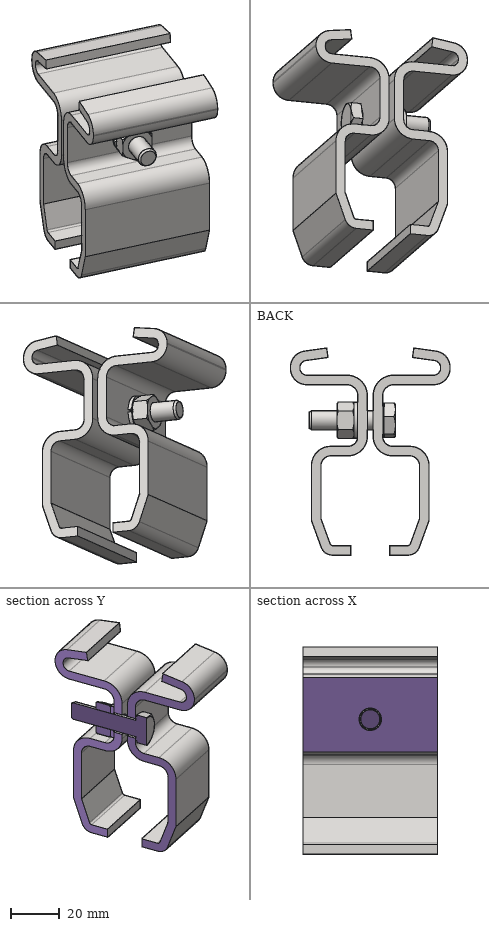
import cadquery as cq
import math

total_width = 65.3
total_height = 84.7
rail_length = 55.0

sheet = 4.0
half_sheet = sheet / 2
web_gap = 2.3
foot_end_x = 8.0
wall_outer_x = 24.05
kink_z = 14.6
kink_angle = 20.0
lower_shelf_top = 44.5
foot_inner_radius = 1.0
bend_inner_radius = 4.0
top_bend_inner_radius = 4.4
hook_inner_radius = 2.8
hook_flat = 0.3
lip_angle = 8.0
lip_length = 9.15

bolt_axis_z = 55.1
shank_diameter = 8.0
shank_tip_diameter = 6.7
shank_tip_length = 1.0
shank_length = 30.05
clearance_diameter = 9.0
hex_sides = 6
hex_flats = 13.0
head_chamfer_diameter = 12.7
nut_chamfer_diameter = 13.55
hex_chamfer_angle = 30.0
head_thickness = 4.7
head_turn = 11.0
nut_turn = 30.0
collar_diameter = 11.6
collar_thickness = 0.5
nut_thickness = 6.8
washer_diameter = 14.8
washer_thickness = 1.6
washer_slit = 1.0

web_outer_face = web_gap / 2 + sheet
hex_corners = hex_flats / math.cos(math.pi / hex_sides)
nut_start_x = web_outer_face + washer_thickness


def rail_centreline():
    """Mid-sheet path of the right-hand rail, from the foot to the hook lip."""
    kink = math.radians(kink_angle)
    lip = math.radians(lip_angle)
    foot_radius = foot_inner_radius + half_sheet
    bend_radius = bend_inner_radius + half_sheet
    top_radius = top_bend_inner_radius + half_sheet
    hook_radius = hook_inner_radius + half_sheet
    hook_outer_radius = hook_inner_radius + sheet

    wall_x = wall_outer_x - half_sheet
    foot_corner_x = wall_x - (kink_z - half_sheet) * math.tan(kink)
    foot_tangent = foot_radius * math.tan((math.pi / 2 - kink) / 2)
    foot_bend_start = (foot_corner_x - foot_tangent, half_sheet)
    foot_bend_end = (
        foot_corner_x + foot_tangent * math.sin(kink),
        half_sheet + foot_tangent * math.cos(kink),
    )

    hook_x = total_width / 2 - hook_outer_radius
    hook_z = total_height - hook_outer_radius * math.cos(lip) - lip_length * math.sin(lip)
    hook_end = (hook_x + hook_radius * math.sin(lip), hook_z + hook_radius * math.cos(lip))
    lip_end = (
        hook_end[0] - lip_length * math.cos(lip),
        hook_end[1] + lip_length * math.sin(lip),
    )

    web_x = web_gap / 2 + half_sheet
    lower_z = lower_shelf_top - half_sheet
    hook_lower_z = hook_z - hook_flat
    upper_z = hook_lower_z - hook_radius
    return (
        cq.Workplane("XZ")
        .moveTo(foot_end_x, half_sheet)
        .lineTo(*foot_bend_start)
        .tangentArcPoint(foot_bend_end, relative=False)
        .lineTo(wall_x, kink_z)
        .lineTo(wall_x, lower_z - bend_radius)
        .tangentArcPoint((wall_x - bend_radius, lower_z), relative=False)
        .lineTo(web_x + bend_radius, lower_z)
        .tangentArcPoint((web_x, lower_z + bend_radius), relative=False)
        .lineTo(web_x, upper_z - top_radius)
        .tangentArcPoint((web_x + top_radius, upper_z), relative=False)
        .lineTo(hook_x, upper_z)
        .tangentArcPoint((hook_x + hook_radius, hook_lower_z), relative=False)
        .lineTo(hook_x + hook_radius, hook_z)
        .tangentArcPoint(hook_end, relative=False)
        .lineTo(*lip_end)
    )


def along_bolt(start_x):
    """Workplane across the bolt axis; local x is Y and local y is Z."""
    return cq.Workplane("YZ", origin=(start_x, 0, bolt_axis_z))


def make_right_rail():
    """Sheet strip swept along its centreline, with the bolt hole through the web."""
    section = cq.Workplane("YZ", origin=(foot_end_x, 0, half_sheet)).rect(rail_length, sheet)
    rail = section.sweep(rail_centreline(), transition="right")
    bolt_hole = along_bolt(0).circle(clearance_diameter / 2).extrude(web_outer_face)
    return rail.cut(bolt_hole)


def hex_block(start_x, thickness, turn):
    """Hexagonal prism along X, turned about the bolt axis."""
    prism = along_bolt(start_x).polygon(hex_sides, hex_corners).extrude(thickness)
    axis_start = (0, 0, bolt_axis_z)
    axis_end = (1, 0, bolt_axis_z)
    return prism.rotate(axis_start, axis_end, turn)


def corner_chamfer(face_x, inward, face_diameter):
    """Cone that trims the hexagon corners at face_x; inward is the X sign pointing into the block."""
    run = hex_corners - face_diameter / 2
    depth = run * math.tan(math.radians(hex_chamfer_angle))
    cone = (
        cq.Workplane("XZ")
        .moveTo(0, 0)
        .lineTo(0, face_diameter / 2)
        .lineTo(inward * depth, hex_corners)
        .lineTo(inward * hex_corners, hex_corners)
        .lineTo(inward * hex_corners, 0)
        .close()
        .revolve(360, (0, 0), (1, 0))
    )
    return cone.translate((face_x, 0, bolt_axis_z))


def make_bolt():
    """Hexagon head, washer-face collar and shank with a chamfered tip."""
    seat_x = -web_outer_face
    collar_x = seat_x - collar_thickness
    head_x = collar_x - head_thickness
    head = hex_block(head_x, head_thickness, head_turn)
    head = head.intersect(corner_chamfer(head_x, 1, head_chamfer_diameter))
    collar = along_bolt(collar_x).circle(collar_diameter / 2).extrude(collar_thickness)
    tip_inset = (shank_diameter - shank_tip_diameter) / 2
    shank = (
        along_bolt(seat_x)
        .circle(shank_diameter / 2)
        .extrude(shank_length)
        .faces(">X")
        .chamfer(shank_tip_length, tip_inset)
    )
    return head.union(collar).union(shank)


def make_washer(rail):
    """Split ring, trimmed where its rim meets the lower bend of the rail."""
    ring = (
        along_bolt(web_outer_face)
        .circle(washer_diameter / 2)
        .circle(shank_diameter / 2)
        .extrude(washer_thickness)
    )
    slit = (
        along_bolt(web_outer_face)
        .center(-washer_diameter / 2, 0)
        .rect(washer_diameter, washer_slit)
        .extrude(washer_thickness)
    )
    return ring.cut(slit).cut(rail)


def make_nut():
    """Hexagon nut chamfered on both faces, bored to fit the shank."""
    block = hex_block(nut_start_x, nut_thickness, nut_turn)
    block = block.intersect(corner_chamfer(nut_start_x, 1, nut_chamfer_diameter))
    block = block.intersect(corner_chamfer(nut_start_x + nut_thickness, -1, nut_chamfer_diameter))
    bore = along_bolt(nut_start_x).circle(shank_diameter / 2).extrude(nut_thickness)
    return block.cut(bore)


right_rail = make_right_rail()
left_rail = right_rail.mirror("YZ")
bolt = make_bolt()
washer = make_washer(right_rail)
nut = make_nut()

bodies = [right_rail, left_rail, bolt, washer, nut]
result = cq.Compound.makeCompound([body.solids().val() for body in bodies])